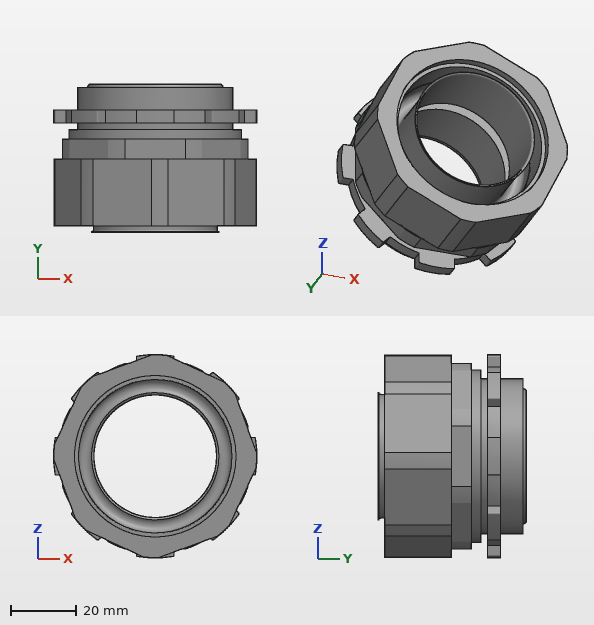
import cadquery as cq


total_length = 45.5
flare_end = -total_length / 2
throat_end = total_length / 2
flare_projection = 2.05
nut_front = flare_end + flare_projection
nut_lip_depth = 2.5
seal_front = nut_front + nut_lip_depth
rim_front = -7.6
nut_back = -0.25
octagon_back = 5.85
gasket_back = 8.8
locknut_front = 10.8
locknut_back = 14.85
throat_height = 1.05
thread_end = throat_end - throat_height

tube_bore = 37.5
sheet = 0.25
tube_outer = tube_bore + 2 * sheet
flare_diameter = 39.0
wall_inner = 47.0
wall_outer = wall_inner + 2 * sheet
channel_radius = (wall_inner - tube_outer) / 4
crown_radius = (wall_outer - tube_bore) / 4
channel_start = -3.7
crown_start = -2.95

octagon_angle = 45

thread_diameter = 47.6
body_bore = 39.0
cardinal_flats = 56.85
diagonal_flats = 57.4
body_corners = 59.8
recess_floor = 3.4

nut_flats = 59.0
nut_corners = 62.0
nut_turn = 25
nut_bore = 49.5

gasket_diameter = 53.0
throat_diameter = 41.5
throat_rounding = 1.0

lobe_diameter = 62.4
root_diameter = 56.0
lobe_count = 8
lobe_pitch = 360 / lobe_count
lobe_width = 11.6
lobe_rounding = 0.45


def along_y(y_start):
    """Workplane at a Y station, with extrusion toward +Y; local x is X and local y is -Z."""
    return cq.Workplane(cq.Plane(origin=(0, y_start, 0), xDir=(1, 0, 0), normal=(0, 1, 0)))


def cylinder(diameter, y_start, y_end):
    return along_y(y_start).circle(diameter / 2).extrude(y_end - y_start)


def ring(outer, inner, y_start, y_end):
    return along_y(y_start).circle(outer / 2).circle(inner / 2).extrude(y_end - y_start)


def square_prism(across_flats, turn, y_start, y_end):
    """Square prism turned about the Y axis; two of them crossed make an octagon."""
    prism = along_y(y_start).rect(across_flats, across_flats).extrude(y_end - y_start)
    return prism.rotate((0, 0, 0), (0, 1, 0), turn)


def eight_sided_prism(flats, other_flats, corners, turn, y_start, y_end):
    """Octagonal prism whose corners are turned down to a cylinder."""
    return (
        cylinder(corners, y_start, y_end)
        .intersect(square_prism(flats, turn, y_start, y_end))
        .intersect(square_prism(other_flats, turn + octagon_angle, y_start, y_end))
    )


def make_body():
    """Octagon, thread and a sleeve that enters the nut, with a recess for the ferrule."""
    octagon = eight_sided_prism(cardinal_flats, diagonal_flats, body_corners, 0, nut_back, octagon_back)
    sleeve = cylinder(nut_bore, rim_front, nut_back)
    thread = cylinder(thread_diameter, octagon_back, thread_end)
    recess = cylinder(wall_outer, rim_front, recess_floor)
    bore = cylinder(body_bore, recess_floor, thread_end)
    return octagon.union(sleeve).union(thread).cut(recess).cut(bore)


def make_nut():
    """Octagon with a plain bore that holds the seal and the sleeve of the body."""
    octagon = eight_sided_prism(nut_flats, nut_flats, nut_corners, nut_turn, nut_front, nut_back)
    return octagon.cut(cylinder(nut_bore, nut_front, nut_back))


def make_ferrule():
    """Revolved sheet section: flared tube, round channel and outer wall."""
    flare_inner = (flare_diameter - tube_bore) / 2
    flare_outer = flare_inner - sheet
    return (
        cq.Workplane("XY")
        .moveTo(flare_diameter / 2, flare_end)
        .radiusArc((tube_bore / 2, flare_end + flare_inner), flare_inner)
        .lineTo(tube_bore / 2, crown_start)
        .radiusArc((wall_outer / 2, crown_start), crown_radius)
        .lineTo(wall_outer / 2, rim_front)
        .lineTo(wall_inner / 2, rim_front)
        .lineTo(wall_inner / 2, channel_start)
        .radiusArc((tube_outer / 2, channel_start), -channel_radius)
        .lineTo(tube_outer / 2, flare_end + flare_inner)
        .radiusArc((flare_diameter / 2, flare_end + sheet), -flare_outer)
        .close()
        .revolve(360, (0, 0, 0), (0, 1, 0))
    )


def make_locknut():
    """Ring with eight parallel-sided lobes."""
    thickness = locknut_back - locknut_front
    locknut = cylinder(root_diameter, locknut_front, locknut_back)
    lobe_disc = cylinder(lobe_diameter, locknut_front, locknut_back)
    bar_length = 2 * lobe_diameter
    for i in range(lobe_count // 2):
        bar = along_y(locknut_front).rect(bar_length, lobe_width).extrude(thickness)
        bar = bar.rotate((0, 0, 0), (0, 1, 0), i * lobe_pitch)
        lobes = bar.intersect(lobe_disc).edges("|Y").fillet(lobe_rounding)
        locknut = locknut.union(lobes)
    return locknut.cut(cylinder(thread_diameter, locknut_front, locknut_back))


def make_throat():
    """Ring on the end of the thread with a rounded outer rim."""
    outer = cylinder(throat_diameter, thread_end, throat_end).faces(">Y").edges().fillet(throat_rounding)
    return outer.cut(cylinder(body_bore, thread_end, throat_end))


body = make_body()
nut = make_nut()
ferrule = make_ferrule()
seal = ring(nut_bore, wall_inner, seal_front, rim_front)
gasket = ring(gasket_diameter, thread_diameter, octagon_back, gasket_back)
locknut = make_locknut()
throat = make_throat()

bodies = [body, nut, ferrule, seal, gasket, locknut, throat]
result = cq.Compound.makeCompound([part.solids().val() for part in bodies])